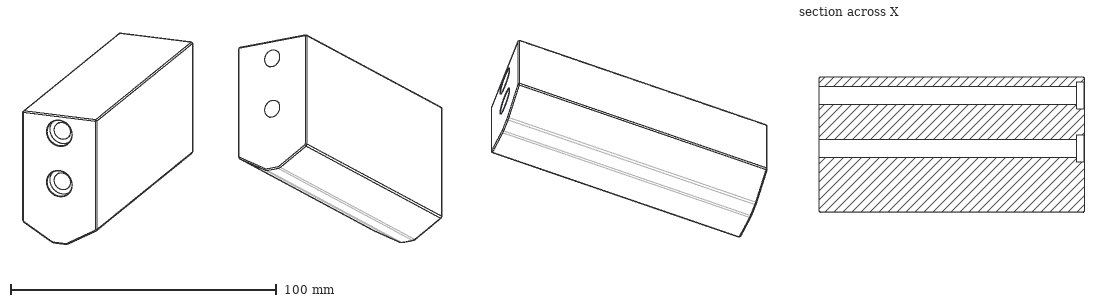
import cadquery as cq
import math

width = 30.0
length = 100.0
height = 51.0
edge_chamfer = 0.5

keel_height = 7.0
keel_angle = 30.0
tip_width = width - 2 * keel_height / math.tan(math.radians(keel_angle))

hole_diameter = 6.6
counterbore_diameter = 10.0
counterbore_depth = 3.0
mouth_chamfer = 0.2
top_hole_drop = 7.0
hole_spacing = 20.0
hole_count = 2


def make_body():
    """Bar with a tapered keel, with every edge broken by a small chamfer."""
    profile = [
        (-width / 2, height),
        (width / 2, height),
        (width / 2, keel_height),
        (tip_width / 2, 0),
        (-tip_width / 2, 0),
        (-width / 2, keel_height),
    ]
    bar = (
        cq.Workplane("XZ", origin=(0, length / 2, 0))
        .polyline(profile)
        .close()
        .extrude(length)
    )
    return bar.edges().chamfer(edge_chamfer)


def cut_counterbored_hole(body, z):
    """Through hole along Y, counterbored from the -Y end with a chamfered mouth."""
    front_plane = cq.Workplane("XZ", origin=(0, -length / 2, z))
    through_hole = front_plane.circle(hole_diameter / 2).extrude(-length)
    counterbore = front_plane.circle(counterbore_diameter / 2).extrude(-counterbore_depth)
    mouth = (
        front_plane.circle(counterbore_diameter / 2 + mouth_chamfer)
        .workplane(offset=-mouth_chamfer)
        .circle(counterbore_diameter / 2)
        .loft()
    )
    return body.cut(through_hole).cut(counterbore).cut(mouth)


result = make_body()
for hole_index in range(hole_count):
    hole_z = height - top_hole_drop - hole_index * hole_spacing
    result = cut_counterbored_hole(result, hole_z)